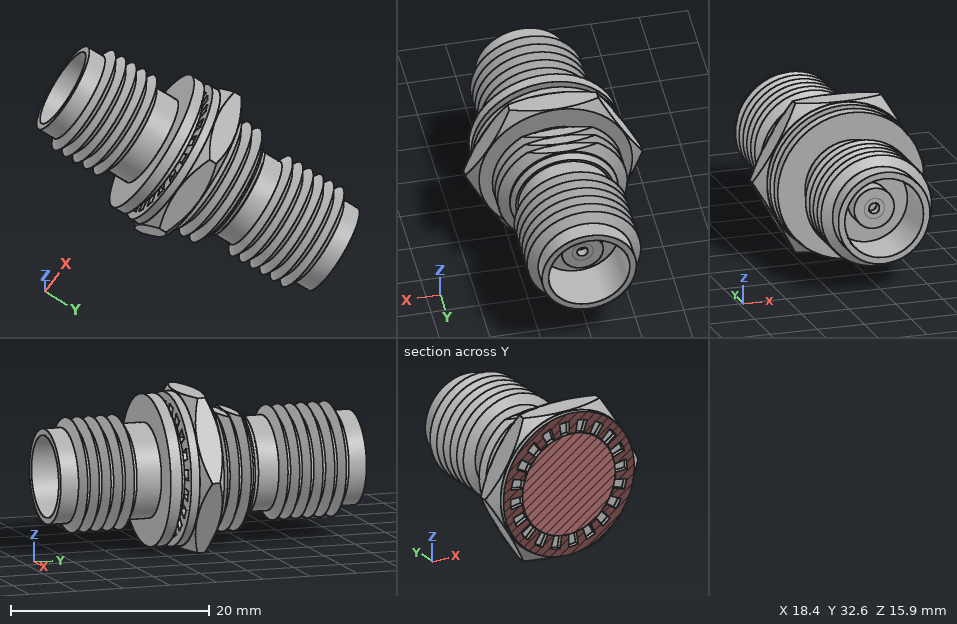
import cadquery as cq
import math

LENGTH = 32.65
REAR_END = LENGTH / 2
FRONT_END = -LENGTH / 2

BARREL_RADIUS = 4.85
THREAD_RADIUS = 5.88
FRONT_TOOTH_COUNT = 5
REAR_TOOTH_COUNT = 6
REAR_THREAD_LENGTH = 7.47
THREAD_PITCH = REAR_THREAD_LENGTH / REAR_TOOTH_COUNT
THREAD_OFFSET = 1.9

SOCKET_RADIUS = 4.18
SOCKET_DEPTH = 5.22
POST_DEPTH = 3.23
INSULATOR_RADIUS = 2.12
CONTACT_RADIUS = 1.08
CONTACT_HOLE_RADIUS = 0.55
CONTACT_HOLE_DEPTH = 0.98

SHANK_RADIUS = 5.58
SHANK_TIP_RADIUS = 5.1
SHANK_REAR_END = 4.7
SHANK_CHAMFER_LENGTH = 0.52
SHANK_THREAD_RADIUS = 6.7
SHANK_THREAD_START = 3.98
SHANK_TOOTH_COUNT = 3
SHANK_FLAT_HEIGHT = 5.6
STEP_RADIUS = 6.25
STEP_REAR = -3.6
FLANGE_RADIUS = 7.77
FLANGE_REAR = -4.37
FLANGE_FRONT = -5.58

NUT_SIDES = 6
NUT_ACROSS_FLATS = 15.9
NUT_REAR = 0.05
NUT_FRONT = -2.5
NUT_FACE_RADIUS = 7.9
NUT_CHAMFER_LENGTH = 0.88
WASHER_RADIUS = 7.85
WASHER_FRONT = -3.43
WASHER_TOOTH_COUNT = 20
WASHER_SLOT_RADIUS = 6.95


def cylinder(radius, start, end):
    """Cylinder on the Y axis between two Y positions."""
    return cq.Workplane("XZ", origin=(0, end, 0)).circle(radius).extrude(end - start)


def revolve_about_y(points):
    """Solid of revolution from (radius, y) points."""
    return cq.Workplane("XY").polyline(points).close().revolve(360, (0, 0, 0), (0, 1, 0))


def thread(root_radius, crest_radius, start, tooth_count):
    """Ring-shaped V teeth on a solid core, running from start toward -Y."""
    points = [(0, start), (root_radius, start)]
    for tooth in range(tooth_count):
        root = start - tooth * THREAD_PITCH
        points.append((crest_radius, root - THREAD_PITCH / 2))
        points.append((root_radius, root - THREAD_PITCH))
    points.append((0, start - tooth_count * THREAD_PITCH))
    return revolve_about_y(points)


def make_shank():
    """Chamfered bulkhead shank with its thread, flattened on the +Z side."""
    chamfer_end = SHANK_REAR_END - SHANK_CHAMFER_LENGTH
    shank = revolve_about_y([
        (0, SHANK_REAR_END),
        (SHANK_TIP_RADIUS, SHANK_REAR_END),
        (SHANK_RADIUS, chamfer_end),
        (SHANK_RADIUS, STEP_REAR),
        (0, STEP_REAR),
    ])
    shank = shank.union(thread(SHANK_RADIUS, SHANK_THREAD_RADIUS, SHANK_THREAD_START, SHANK_TOOTH_COUNT))
    flat_cutter = cq.Workplane("XY", origin=(0, 0, SHANK_FLAT_HEIGHT)).rect(LENGTH, LENGTH).extrude(LENGTH)
    return shank.cut(flat_cutter)


def add_both_ends(body, front_feature):
    """Fuse a front-end feature and its mirror image to the body, keeping the seams between flush faces."""
    return body.union(front_feature, clean=False).union(front_feature.mirror("XZ"), clean=False)


def cut_both_ends(body, front_feature):
    """Cut a front-end feature and its mirror image from the body, keeping the same seams."""
    return body.cut(front_feature, clean=False).cut(front_feature.mirror("XZ"), clean=False)


def make_connector():
    """Two threaded barrels, the bulkhead section and a contact post in each socket."""
    front_thread_start = FRONT_END + THREAD_OFFSET + FRONT_TOOTH_COUNT * THREAD_PITCH
    connector = (
        cylinder(BARREL_RADIUS, FRONT_END, REAR_END)
        .union(thread(BARREL_RADIUS, THREAD_RADIUS, REAR_END - THREAD_OFFSET, REAR_TOOTH_COUNT))
        .union(thread(BARREL_RADIUS, THREAD_RADIUS, front_thread_start, FRONT_TOOTH_COUNT))
        .union(make_shank())
        .union(cylinder(STEP_RADIUS, FLANGE_REAR, STEP_REAR))
        .union(cylinder(FLANGE_RADIUS, FLANGE_FRONT, FLANGE_REAR))
    )
    socket_floor = FRONT_END + SOCKET_DEPTH
    post_end = FRONT_END + POST_DEPTH
    connector = cut_both_ends(connector, cylinder(SOCKET_RADIUS, FRONT_END, socket_floor))
    connector = add_both_ends(connector, cylinder(INSULATOR_RADIUS, post_end, socket_floor))
    connector = add_both_ends(connector, cylinder(CONTACT_RADIUS, post_end, socket_floor))
    return cut_both_ends(connector, cylinder(CONTACT_HOLE_RADIUS, post_end, post_end + CONTACT_HOLE_DEPTH))


def make_nut():
    """Hex nut with chamfered corners on both faces."""
    across_corners = NUT_ACROSS_FLATS / math.cos(math.pi / NUT_SIDES)
    corner_radius = across_corners / 2
    blank = (
        cq.Workplane("XZ", origin=(0, NUT_REAR, 0))
        .polygon(NUT_SIDES, across_corners)
        .extrude(NUT_REAR - NUT_FRONT)
    )
    chamfered_disc = revolve_about_y([
        (0, NUT_REAR),
        (NUT_FACE_RADIUS, NUT_REAR),
        (corner_radius, NUT_REAR - NUT_CHAMFER_LENGTH),
        (corner_radius, NUT_FRONT + NUT_CHAMFER_LENGTH),
        (NUT_FACE_RADIUS, NUT_FRONT),
        (0, NUT_FRONT),
    ])
    return blank.intersect(chamfered_disc).cut(cylinder(SHANK_RADIUS, NUT_FRONT, NUT_REAR))


def make_washer():
    """Lock washer whose inner teeth are as wide as the gaps between them."""
    tooth_angle = 360 / WASHER_TOOTH_COUNT
    gap_angle = tooth_angle / 2
    thickness = NUT_FRONT - WASHER_FRONT
    gap_radians = math.radians(gap_angle)
    sector_end = (WASHER_RADIUS * math.cos(gap_radians), WASHER_RADIUS * math.sin(gap_radians))
    sector = (
        cq.Workplane("XZ", origin=(0, NUT_FRONT, 0))
        .polyline([(0, 0), (WASHER_RADIUS, 0), sector_end])
        .close()
        .extrude(thickness)
    )
    gap = cylinder(WASHER_SLOT_RADIUS, WASHER_FRONT, NUT_FRONT).intersect(sector)
    bore = cylinder(SHANK_RADIUS, WASHER_FRONT, NUT_FRONT)
    washer = cylinder(WASHER_RADIUS, WASHER_FRONT, NUT_FRONT).cut(bore)
    for tooth in range(WASHER_TOOTH_COUNT):
        washer = washer.cut(gap.rotate((0, 0, 0), (0, 1, 0), tooth * tooth_angle))
    return washer


connector = make_connector()
nut = make_nut()
washer = make_washer()
result = cq.Compound.makeCompound([connector.val(), nut.val(), washer.val()])